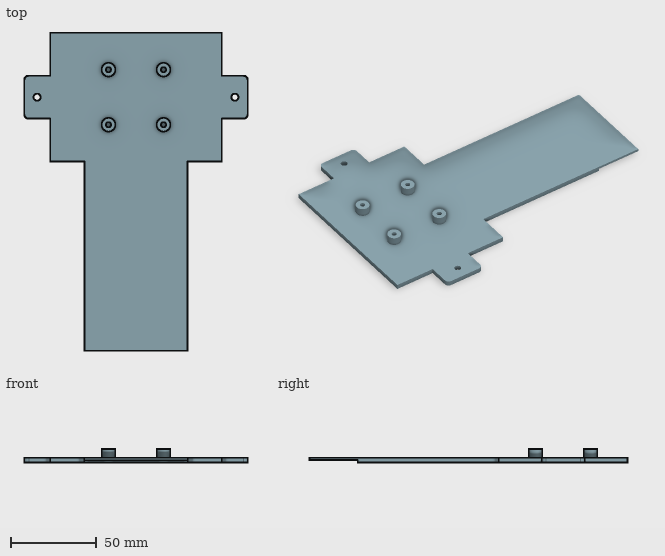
import cadquery as cq

plate_thickness = 3.0
head_width = 100.0
head_length = 75.0
tongue_width = 60.0
tongue_length = 110.0

thin_end_length = 28.0
thin_end_thickness = 1.5

overall_width = 130.0
tab_length = 25.0
tab_corner_radius = 2.5
tab_hole_diameter = 4.0
tab_hole_spacing = 115.0

standoff_diameter = 8.0
standoff_height = 5.0
standoff_bore_diameter = 3.0
standoff_spacing = 32.0

tongue_end_y = -head_length / 2 - tongue_length
plate_top = cq.Workplane("XY").workplane(offset=plate_thickness)


def make_head():
    return cq.Workplane("XY").box(head_width, head_length, plate_thickness, centered=(True, True, False))


def make_tabs():
    """One rounded bar across the head forms both tabs."""
    bar = cq.Workplane("XY").box(overall_width, tab_length, plate_thickness, centered=(True, True, False))
    return bar.edges("|Z").fillet(tab_corner_radius)


def make_tongue():
    """Tongue from the side profile, with the step under its free end."""
    head_edge_y = -head_length / 2
    step_y = tongue_end_y + thin_end_length
    step_z = plate_thickness - thin_end_thickness
    profile = [
        (head_edge_y, 0),
        (head_edge_y, plate_thickness),
        (tongue_end_y, plate_thickness),
        (tongue_end_y, step_z),
        (step_y, step_z),
        (step_y, 0),
    ]
    return cq.Workplane("YZ").polyline(profile).close().extrude(tongue_width / 2, both=True)


def make_standoffs():
    pattern = plate_top.rarray(standoff_spacing, standoff_spacing, 2, 2)
    return pattern.circle(standoff_diameter / 2).circle(standoff_bore_diameter / 2).extrude(standoff_height)


def make_tab_holes():
    pattern = cq.Workplane("XY").rarray(tab_hole_spacing, 1, 2, 1)
    return pattern.circle(tab_hole_diameter / 2).extrude(plate_thickness)


plate = make_head().union(make_tabs()).union(make_tongue())
result = plate.cut(make_tab_holes()).union(make_standoffs())